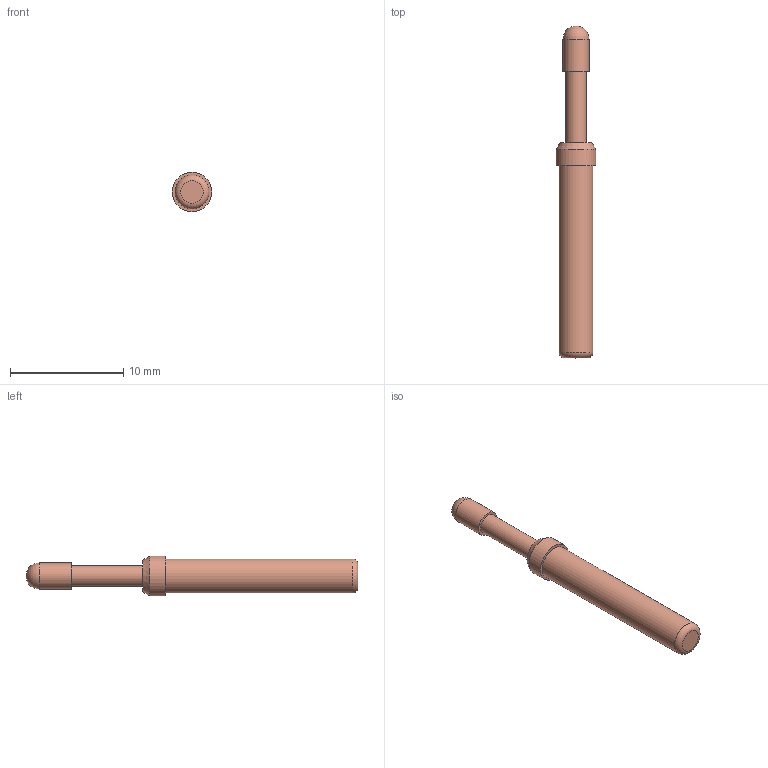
import cadquery as cq
import math


barrel_diameter = 3.0
barrel_length = 17.0
barrel_end_round = 0.5

collar_diameter = 3.5
collar_length = 2.0
collar_taper_length = 0.6
collar_taper_angle = 30.0

rod_diameter = 1.8
plunger_length = 10.3
head_diameter = 2.3
head_length = 4.0

collar_radius = collar_diameter / 2
collar_taper_depth = collar_taper_length * math.tan(math.radians(collar_taper_angle))
collar_front_radius = collar_radius - collar_taper_depth
dome_radius = head_diameter / 2
tip_y = collar_length + plunger_length
head_rear_y = tip_y - head_length


def cylinder_along_y(diameter, start_y, end_y):
    """Solid cylinder on the Y axis between two Y positions."""
    return (
        cq.Workplane("XZ", origin=(0, start_y, 0))
        .circle(diameter / 2)
        .extrude(start_y - end_y)
    )


def make_barrel():
    """Plain barrel with a rounded free end."""
    barrel = cylinder_along_y(barrel_diameter, -barrel_length, 0)
    return barrel.faces("<Y").edges().fillet(barrel_end_round)


def make_collar():
    """Collar with a conical front edge."""
    return (
        cq.Workplane("XY")
        .lineTo(collar_radius, 0)
        .lineTo(collar_radius, collar_length - collar_taper_length)
        .lineTo(collar_front_radius, collar_length)
        .lineTo(0, collar_length)
        .close()
        .revolve(360, (0, 0, 0), (0, 1, 0))
    )


def make_rod():
    """Slim plunger rod between the collar and the head."""
    return cylinder_along_y(rod_diameter, collar_length, head_rear_y)


def make_head():
    """Contact head with a hemispherical tip."""
    dome_start_y = tip_y - dome_radius
    dome_diagonal = dome_radius * math.sqrt(0.5)
    return (
        cq.Workplane("XY")
        .moveTo(0, head_rear_y)
        .lineTo(dome_radius, head_rear_y)
        .lineTo(dome_radius, dome_start_y)
        .threePointArc((dome_diagonal, dome_start_y + dome_diagonal), (0, tip_y))
        .close()
        .revolve(360, (0, 0, 0), (0, 1, 0))
    )


result = make_barrel().union(make_collar()).union(make_rod()).union(make_head())